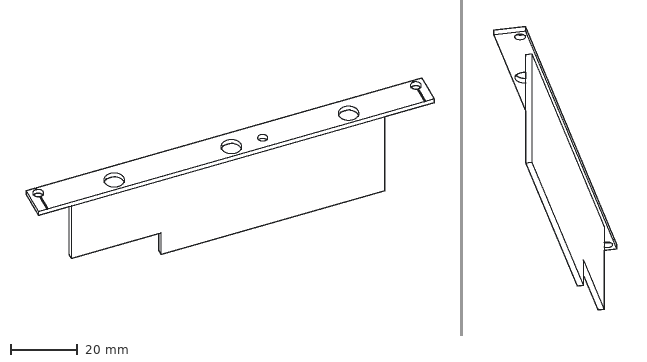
import cadquery as cq

PANEL_WIDTH = 9.8
PANEL_LENGTH = 128.5
PANEL_THICKNESS = 1.7

MOUNT_HOLE_DIAMETER = 3.2
MOUNT_HOLE_X = -2.6
MOUNT_END_DISTANCE = 3.0
MOUNT_HOLE_Y = PANEL_LENGTH / 2 - MOUNT_END_DISTANCE

LINE_WIDTH = 0.4
LINE_DEPTH = 0.1

JACK_HOLE_DIAMETER = 6.2
JACK_SPACING = 38.0
CONTROL_X = 0.9
LAMP_HOLE_DIAMETER = 3.0
LAMP_Y = 10.2

OVERALL_HEIGHT = 39.8
BOARD_THICKNESS = 1.9
BOARD_LEFT_OFFSET = 0.9
BOARD_LENGTH = 101.8
BOARD_FAR_Y = 51.0
BOARD_NOTCH_LENGTH = 29.2
BOARD_NOTCH_HEIGHT = 9.0


def make_panel():
    """Plate with its through holes and the two engraved lines."""
    panel = cq.Workplane("XY").box(
        PANEL_WIDTH, PANEL_LENGTH, PANEL_THICKNESS, centered=(True, True, False)
    ).translate((0, 0, -PANEL_THICKNESS))

    mount_points = [(MOUNT_HOLE_X, -MOUNT_HOLE_Y), (MOUNT_HOLE_X, MOUNT_HOLE_Y)]
    jack_points = [(CONTROL_X, step * JACK_SPACING) for step in (-1, 0, 1)]
    lamp_points = [(CONTROL_X, LAMP_Y)]
    for points, diameter in (
        (mount_points, MOUNT_HOLE_DIAMETER),
        (jack_points, JACK_HOLE_DIAMETER),
        (lamp_points, LAMP_HOLE_DIAMETER),
    ):
        holes = cq.Workplane("XY").pushPoints(points).circle(diameter / 2).extrude(-PANEL_THICKNESS)
        panel = panel.cut(holes)

    lines = (
        cq.Workplane("XY")
        .pushPoints([(0, -MOUNT_HOLE_Y), (0, MOUNT_HOLE_Y)])
        .rect(PANEL_WIDTH, LINE_WIDTH)
        .extrude(-LINE_DEPTH)
    )
    return panel.cut(lines)


def make_board():
    """Upright sheet with a rectangular notch in its lower -Y corner."""
    left = -PANEL_WIDTH / 2 + BOARD_LEFT_OFFSET
    near_y = BOARD_FAR_Y - BOARD_LENGTH
    notch_y = near_y + BOARD_NOTCH_LENGTH
    top = -PANEL_THICKNESS
    bottom = -OVERALL_HEIGHT
    notch_z = bottom + BOARD_NOTCH_HEIGHT
    outline = [
        (near_y, top),
        (BOARD_FAR_Y, top),
        (BOARD_FAR_Y, bottom),
        (notch_y, bottom),
        (notch_y, notch_z),
        (near_y, notch_z),
    ]
    return (
        cq.Workplane("YZ", origin=(left, 0, 0))
        .polyline(outline)
        .close()
        .extrude(BOARD_THICKNESS)
    )


panel = make_panel()
board = make_board()

result = cq.Compound.makeCompound([panel.val(), board.val()])